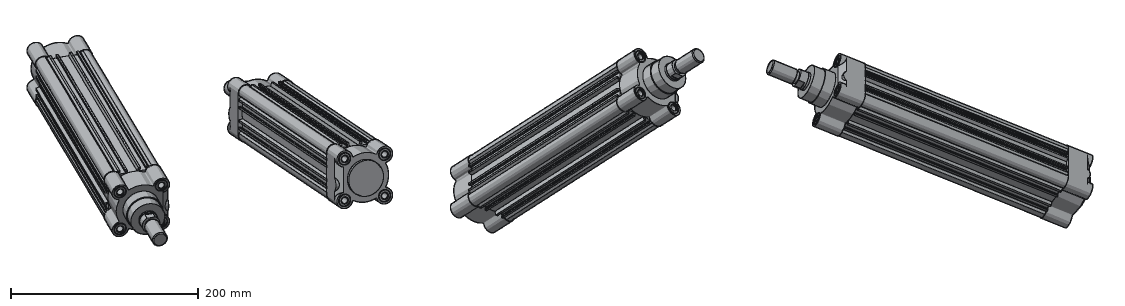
import cadquery as cq
import math


total_length = 379.0
cap_width = 64.5
half_cap = cap_width / 2

rear_boss_length = 3.8
cap_length = 29.5
front_cap_end = 309.5
neck_step_x = 322.0
neck_end = 334.5
wiper_end = 337.0
rod_shoulder = 346.5
thread_start = 350.0
rear_cap_end = rear_boss_length + cap_length
front_cap_start = front_cap_end - cap_length

boss_radius = 20.0
neck_radius = 19.0
cap_body_radius = 27.5
wiper_radius = 10.2
rod_radius = 10.0
undercut_radius = 7.0
thread_radius = 8.5

lug_radius = 9.0
screw_offset = half_cap - lug_radius
lug_root_fillet = 1.0
screw_ring_outer = 7.0
screw_ring_inner = 6.5
screw_ring_depth = 1.0
screw_hole_radius = 3.5
screw_chamfer = 0.8
screw_hole_depth = 16.0
drill_point_angle = 118.0

slope_foot_y = 24.5
slope_tilt = 41.0
port_radius = 10.2
port_from_outer_face = 13.3
port_z = -6.0

half_barrel = 31.5
barrel_corner_radius = 8.0
v_groove_offset = 19.0
v_groove_half_width = 2.3
barrel_arc_radius = 27.5
rail_outer = 8.7
rail_inner = 6.5
rail_root = 5.3
lip_edge = 14.5
lip_thickness = 2.3
slot_undercut = 1.0
slot_floor = 27.3

flat_start = 339.2
flat_height = 8.7
thread_chamfer = 1.0


def disc(x_start, x_end, radius):
    """Cylinder about the X axis."""
    return cq.Workplane("YZ", origin=(x_start, 0, 0)).circle(radius).extrude(x_end - x_start)


def screw_recess(y, z):
    """Ring around a screw head and the chamfered, drill-pointed blind hole in the head."""
    outer_face = rear_boss_length
    ring = (
        cq.Workplane("YZ", origin=(outer_face, y, z))
        .circle(screw_ring_outer)
        .circle(screw_ring_inner)
        .extrude(screw_ring_depth)
    )
    hole_bottom = outer_face + screw_hole_depth
    point_length = screw_hole_radius / math.tan(math.radians(drill_point_angle / 2))
    hole = (
        cq.Workplane("XY", origin=(0, y, z))
        .moveTo(outer_face, 0)
        .lineTo(outer_face, screw_hole_radius + screw_chamfer)
        .lineTo(outer_face + screw_chamfer, screw_hole_radius)
        .lineTo(hole_bottom, screw_hole_radius)
        .lineTo(hole_bottom + point_length, 0)
        .close()
        .revolve(360, (0, 0, 0), (1, 0, 0))
    )
    return ring.union(hole)


def on_cap_body(edge):
    """True for an edge along X that lies on the round cap body, where a lug meets it."""
    centre = edge.Center()
    return math.isclose(math.hypot(centre.y, centre.z), cap_body_radius, abs_tol=0.0005)


def cap_block():
    """End cap at the rear station, with its outer face toward -X and its port side toward +Y."""
    outer_face = rear_boss_length
    lug_centres = [(y, z) for y in (-screw_offset, screw_offset) for z in (-screw_offset, screw_offset)]

    slope_run = (half_cap - slope_foot_y) * math.tan(math.radians(slope_tilt))
    side_limit = cap_body_radius
    slope = (
        cq.Workplane("XY", origin=(0, 0, -side_limit))
        .moveTo(outer_face, slope_foot_y)
        .lineTo(outer_face + slope_run, half_cap)
        .lineTo(outer_face, half_cap)
        .close()
        .extrude(2 * side_limit)
    )
    pad = cq.Workplane("XY").box(
        cap_length, half_cap, 2 * screw_offset, centered=(False, False, True)
    ).translate((outer_face, 0, 0))
    block = disc(outer_face, rear_cap_end, cap_body_radius).union(pad).cut(slope)

    port_boss = (
        cq.Workplane("XZ", origin=(outer_face + port_from_outer_face, 0, port_z))
        .circle(port_radius)
        .extrude(-half_cap)
    )
    block = block.union(port_boss)

    lugs = cq.Workplane("YZ", origin=(outer_face, 0, 0)).pushPoints(lug_centres).circle(lug_radius)
    block = block.union(lugs.extrude(cap_length))
    block = block.edges("|X").filter(on_cap_body).fillet(lug_root_fillet)
    for y, z in lug_centres:
        block = block.cut(screw_recess(y, z))
    return block


def make_rear_cap():
    return cap_block().union(disc(0, rear_cap_end, boss_radius))


def make_front_cap():
    """Mirrored cap with a stepped neck, a wiper lip and a through bore for the rod."""
    mid_plane = (rear_boss_length + front_cap_end) / 2
    cap = cap_block().mirror("YZ", (mid_plane, 0, 0))
    cap = cap.union(disc(front_cap_start, neck_step_x, boss_radius))
    cap = cap.union(disc(front_cap_start, neck_end, neck_radius))
    cap = cap.union(disc(front_cap_start, wiper_end, wiper_radius))
    return cap.cut(disc(front_cap_start, wiper_end, rod_radius))


def barrel_side_cutter():
    """Center channel, two T-slots and two V-grooves of the barrel's +Z side, at full barrel length."""
    length = front_cap_start - rear_cap_end
    plane = cq.Workplane("YZ", origin=(rear_cap_end, 0, 0))
    root_z = math.sqrt(barrel_arc_radius**2 - rail_root**2)
    cutter = (
        plane.moveTo(-rail_inner, half_barrel)
        .lineTo(-rail_root, root_z)
        .threePointArc((0, barrel_arc_radius), (rail_root, root_z))
        .lineTo(rail_inner, half_barrel)
        .close()
        .extrude(length)
    )
    lip_underside = half_barrel - lip_thickness
    for side in (-1, 1):
        slot = (
            plane.moveTo(side * rail_outer, half_barrel)
            .lineTo(side * rail_outer, lip_underside)
            .lineTo(side * (rail_outer - slot_undercut), lip_underside)
            .lineTo(side * (rail_outer - slot_undercut), slot_floor)
            .lineTo(side * (lip_edge + slot_undercut), slot_floor)
            .lineTo(side * (lip_edge + slot_undercut), lip_underside)
            .lineTo(side * lip_edge, lip_underside)
            .lineTo(side * lip_edge, half_barrel)
            .close()
            .extrude(length)
        )
        v_groove = (
            plane.moveTo(side * (v_groove_offset - v_groove_half_width), half_barrel)
            .lineTo(side * v_groove_offset, half_barrel - v_groove_half_width)
            .lineTo(side * (v_groove_offset + v_groove_half_width), half_barrel)
            .close()
            .extrude(length)
        )
        cutter = cutter.union(slot).union(v_groove)
    return cutter


def make_barrel():
    """Square extrusion with round corners and the same grooves on all four sides."""
    barrel = (
        cq.Workplane("YZ", origin=(rear_cap_end, 0, 0))
        .rect(2 * half_barrel, 2 * half_barrel)
        .extrude(front_cap_start - rear_cap_end)
        .edges("|X")
        .fillet(barrel_corner_radius)
    )
    cutter = barrel_side_cutter()
    for quarter in range(4):
        barrel = barrel.cut(cutter.rotate((0, 0, 0), (1, 0, 0), 90 * quarter))
    return barrel


def make_rod():
    """Piston rod with two wrench flats, an undercut and a chamfered thread end."""
    shank = disc(front_cap_start, rod_shoulder, rod_radius)
    flat_length = rod_shoulder - flat_start
    for side in (-1, 1):
        flat_cut = cq.Workplane("XY").box(flat_length, 2 * rod_radius, rod_radius)
        flat_centre_x = flat_start + flat_length / 2
        shank = shank.cut(flat_cut.translate((flat_centre_x, 0, side * (flat_height + rod_radius / 2))))
    undercut = disc(rod_shoulder, thread_start, undercut_radius)
    thread = disc(thread_start, total_length, thread_radius).faces(">X").chamfer(thread_chamfer)
    return shank.union(undercut).union(thread)


rear_cap = make_rear_cap()
front_cap = make_front_cap()
barrel = make_barrel()
rod = make_rod()

result = cq.Compound.makeCompound([rear_cap.val(), front_cap.val(), barrel.val(), rod.val()])